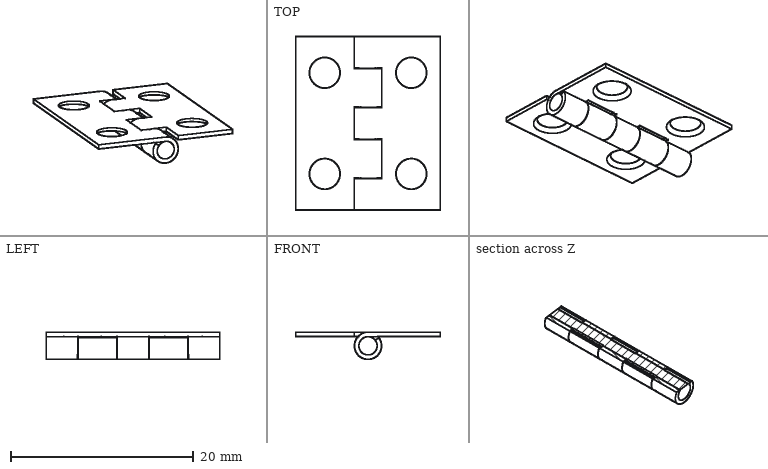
import cadquery as cq
import math

hinge_length = 19.05
hinge_width = 15.85
sheet = 0.5
pin_diameter = 2.0
end_knuckle = 3.47
knuckle_gap = 0.048
curl_end_angle = 37.0
hole_diameter = 3.33
hole_flare = 0.42
hole_x = 4.75
hole_y = 5.55

pin_radius = pin_diameter / 2
barrel_radius = pin_radius + sheet
half_length = hinge_length / 2
notch_length = (hinge_length - 3 * end_knuckle) / 2
left_knuckle = notch_length - 2 * knuckle_gap
left_knuckle_y = (end_knuckle + notch_length) / 2
right_knuckle_y = end_knuckle + notch_length

right_knuckles = [(y, end_knuckle) for y in (-right_knuckle_y, 0, right_knuckle_y)]
left_knuckles = [(y, left_knuckle) for y in (-left_knuckle_y, left_knuckle_y)]


def make_plate(side):
    """Flat part of a leaf outside the barrel, with countersunk screw holes; side is +1 for +X, -1 for -X."""
    plate_width = hinge_width / 2 - barrel_radius
    plate_x = side * (barrel_radius + plate_width / 2)
    plate_z = pin_radius + sheet / 2
    plate = cq.Workplane("XY").box(plate_width, hinge_length, sheet)
    plate = plate.translate((plate_x, 0, plate_z))
    flare_angle = math.degrees(math.atan2(hole_flare, sheet))
    holes = (
        cq.Workplane("XY", origin=(0, 0, barrel_radius))
        .pushPoints([(side * hole_x, -hole_y), (side * hole_x, hole_y)])
        .circle(hole_diameter / 2)
        .extrude(-sheet, taper=-flare_angle)
    )
    return plate.cut(holes)


def make_knuckle(side, center_y, length):
    """Sheet tongue that runs in from the plate and curls round the pin, leaving an open seam."""
    end = math.radians(curl_end_angle)
    end_x = side * math.cos(end)
    end_z = math.sin(end)
    middle = math.radians((90 + 360 + curl_end_angle) / 2)
    middle_x = side * math.cos(middle)
    middle_z = math.sin(middle)
    return (
        cq.Workplane("XZ", origin=(0, center_y, 0))
        .moveTo(side * barrel_radius, barrel_radius)
        .lineTo(0, barrel_radius)
        .threePointArc(
            (barrel_radius * middle_x, barrel_radius * middle_z),
            (barrel_radius * end_x, barrel_radius * end_z),
        )
        .lineTo(pin_radius * end_x, pin_radius * end_z)
        .threePointArc((pin_radius * middle_x, pin_radius * middle_z), (0, pin_radius))
        .lineTo(side * barrel_radius, pin_radius)
        .close()
        .extrude(length / 2, both=True)
    )


def make_leaf(side, knuckles):
    """One leaf: a plate with its knuckles."""
    leaf = make_plate(side)
    for center_y, length in knuckles:
        leaf = leaf.union(make_knuckle(side, center_y, length))
    return leaf.clean()


def make_pin():
    """Plain pin, flush with both ends of the hinge."""
    return cq.Workplane("XZ").circle(pin_radius).extrude(half_length, both=True)


left_leaf = make_leaf(-1, left_knuckles)
right_leaf = make_leaf(1, right_knuckles)
pin = make_pin()

result = cq.Compound.makeCompound([left_leaf.val(), right_leaf.val(), pin.val()])